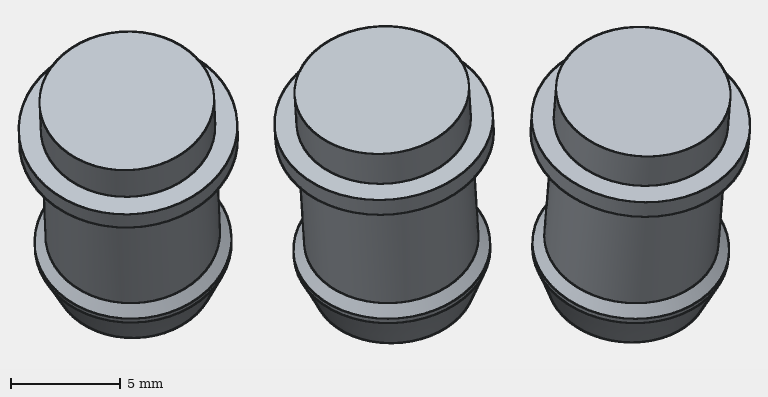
import cadquery as cq

tilt_angle = 3.5
total_length = 13.0

body_radius = 4.0
flange_radius = 5.0
barb_radius = 4.5
tip_radius = 3.71

barb_bottom = 2.2
barb_band_height = 0.3
barb_shoulder_height = 0.5
flange_thickness = 1.0
head_height = 2.0

barb_top = barb_bottom + barb_band_height
body_bottom = barb_top + barb_shoulder_height
flange_top = total_length - head_height
flange_bottom = flange_top - flange_thickness

profile = (
    cq.Workplane("XZ")
    .lineTo(tip_radius, 0)
    .lineTo(barb_radius, barb_bottom)
    .lineTo(barb_radius, barb_top)
    .lineTo(body_radius, body_bottom)
    .lineTo(body_radius, flange_bottom)
    .lineTo(flange_radius, flange_bottom)
    .lineTo(flange_radius, flange_top)
    .lineTo(body_radius, flange_top)
    .lineTo(body_radius, total_length)
    .lineTo(0, total_length)
    .close()
)
upright_plug = profile.revolve(360, (0, 0, 0), (0, 1, 0))

result = upright_plug.rotate((0, 0, 0), (1, 0, 0), tilt_angle)